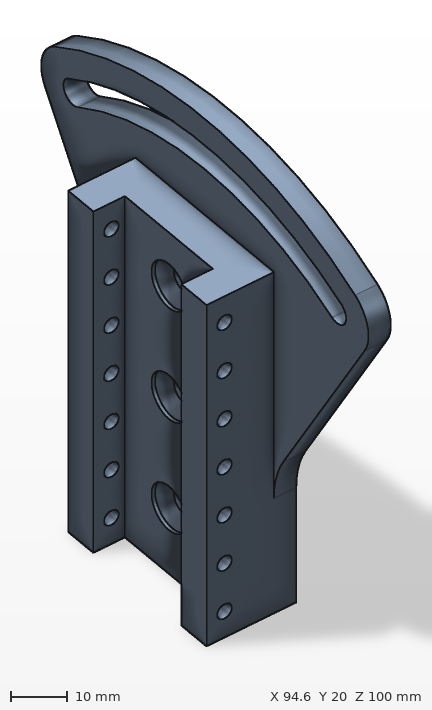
import cadquery as cq
import math

BLOCK_WIDTH = 40.0
BLOCK_DEPTH = 20.0
BLOCK_HEIGHT = 78.0
CHANNEL_WIDTH = 25.4
CHANNEL_DEPTH = 7.0
CHANNEL_FLOOR_Y = -(BLOCK_DEPTH - CHANNEL_DEPTH)

SCREW_HOLE_DIAMETER = 5.3
COUNTERSINK_DIAMETER = 10.0
COUNTERSINK_ANGLE = 90.0
COUNTERSINK_LIP = 0.8
SCREW_COUNT = 3
SCREW_PITCH = 25.4
FIRST_SCREW_Z = 15.0

CROSS_HOLE_DIAMETER = 3.24
CROSS_HOLE_COUNT = 7
CROSS_HOLE_PITCH = 11.0
FIRST_CROSS_HOLE_Z = 6.0
CROSS_HOLE_SETBACK = 4.0
CROSS_HOLE_Y = -(BLOCK_DEPTH - CROSS_HOLE_SETBACK)

PIVOT_Z = FIRST_SCREW_Z
PLATE_THICKNESS = 5.0
SECTOR_RADIUS = 85.0
SWING_ANGLE = math.radians(30.0)
SIDE_MARGIN = 8.95
TIP_FILLET = 8.0
ROOT_FILLET = 20.0

SLOT_RADIUS = 76.2
SLOT_WIDTH = 5.5


def polar(radius, angle):
    """Point at a radius from the pivot, with the angle measured from the Z axis toward +X."""
    return radius * math.sin(angle), PIVOT_Z + radius * math.cos(angle)


def edges_between(low_z, high_z):
    """Selector for the sector plate's edges centered between two heights."""
    return cq.selectors.BoxSelector(
        (-SECTOR_RADIUS, -PLATE_THICKNESS, low_z),
        (SECTOR_RADIUS, 0, high_z),
    )


def make_block():
    centered = (True, False, False)
    block = cq.Workplane("XY").box(BLOCK_WIDTH, BLOCK_DEPTH, BLOCK_HEIGHT, centered=centered)
    channel = cq.Workplane("XY").box(CHANNEL_WIDTH, CHANNEL_DEPTH, BLOCK_HEIGHT, centered=centered)
    return block.cut(channel).translate((0, -BLOCK_DEPTH, 0))


def make_plate():
    half_width = BLOCK_WIDTH / 2
    root_z = PIVOT_Z + (half_width * math.cos(SWING_ANGLE) - SIDE_MARGIN) / math.sin(SWING_ANGLE)
    base_z = root_z - ROOT_FILLET * math.tan(SWING_ANGLE / 2)
    corner_x, corner_z = polar(SECTOR_RADIUS, SWING_ANGLE + math.asin(SIDE_MARGIN / SECTOR_RADIUS))

    plate = (
        cq.Workplane("XZ")
        .moveTo(-half_width, 0)
        .lineTo(half_width, 0)
        .lineTo(half_width, root_z)
        .lineTo(corner_x, corner_z)
        .threePointArc(polar(SECTOR_RADIUS, 0), (-corner_x, corner_z))
        .lineTo(-half_width, root_z)
        .close()
        .extrude(PLATE_THICKNESS)
    )
    halfway_z = (root_z + corner_z) / 2
    plate = plate.edges("|Y").edges(edges_between(halfway_z, PIVOT_Z + SECTOR_RADIUS)).fillet(TIP_FILLET)
    return plate.edges("|Y").edges(edges_between(base_z, halfway_z)).fillet(ROOT_FILLET)


def make_arc_slot():
    inner_radius = SLOT_RADIUS - SLOT_WIDTH / 2
    outer_radius = SLOT_RADIUS + SLOT_WIDTH / 2
    end_bulge = SWING_ANGLE + SLOT_WIDTH / 2 / SLOT_RADIUS
    return (
        cq.Workplane("XZ")
        .moveTo(*polar(outer_radius, -SWING_ANGLE))
        .threePointArc(polar(outer_radius, 0), polar(outer_radius, SWING_ANGLE))
        .threePointArc(polar(SLOT_RADIUS, end_bulge), polar(inner_radius, SWING_ANGLE))
        .threePointArc(polar(inner_radius, 0), polar(inner_radius, -SWING_ANGLE))
        .threePointArc(polar(SLOT_RADIUS, -end_bulge), polar(outer_radius, -SWING_ANGLE))
        .close()
        .extrude(PLATE_THICKNESS)
    )


def drill_screw_holes(body):
    centers = [(0, FIRST_SCREW_Z + i * SCREW_PITCH) for i in range(SCREW_COUNT)]
    lip_bottom = cq.Plane.named("XZ", origin=(0, CHANNEL_FLOOR_Y + COUNTERSINK_LIP, 0))
    lip_radius = COUNTERSINK_DIAMETER / 2
    lips = cq.Workplane(lip_bottom).pushPoints(centers).circle(lip_radius).extrude(COUNTERSINK_LIP)
    return (
        body.cut(lips)
        .copyWorkplane(cq.Workplane(lip_bottom))
        .pushPoints(centers)
        .cskHole(SCREW_HOLE_DIAMETER, COUNTERSINK_DIAMETER, COUNTERSINK_ANGLE)
    )


def drill_cross_holes(body):
    centers = [(CROSS_HOLE_Y, FIRST_CROSS_HOLE_Z + i * CROSS_HOLE_PITCH) for i in range(CROSS_HOLE_COUNT)]
    radius = CROSS_HOLE_DIAMETER / 2
    drills = cq.Workplane("YZ").pushPoints(centers).circle(radius).extrude(BLOCK_WIDTH, both=True)
    return body.cut(drills)


body = make_block().union(make_plate()).cut(make_arc_slot())
result = drill_cross_holes(drill_screw_holes(body))